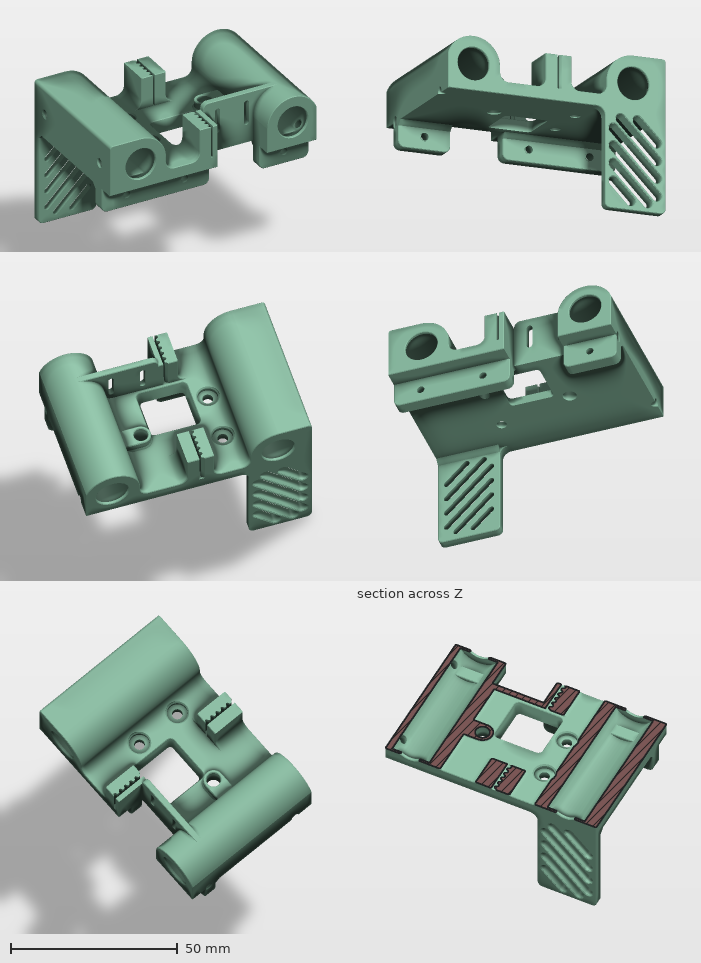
import cadquery as cq
import math

WIDTH = 47.0
LENGTH = 71.09
HEIGHT = 17.1
LEG_DROP = 31.46
PLATE_THICKNESS = 3.9
EDGE_CHAMFER = 0.2
DIAGONAL = 45

BOSS_RADIUS = 8.75
BORE_RADIUS = 5.15
BEARING_RADIUS = 7.5
BEARING_LIP = 0.9
AXIS_Z = HEIGHT - BOSS_RADIUS
FRONT_AXIS_Y = 10.55
REAR_AXIS_Y = LENGTH - 8.25
INNER_FILLET = 2.8
TOP_EDGE_FILLET = 1.0

SCREW_INSET = 6.6
SCREW_X_POSITIONS = (SCREW_INSET, WIDTH - SCREW_INSET)
SCREW_RADIUS = 1.3
SCREW_CHAMFER = 0.3

LEG_THICKNESS = 3.0
LEG_DEPTH = 19.8
LEG_CORNER = 1.6
GUSSET = 1.6
SLOT_OUTER_RADIUS = 1.6
SLOT_INNER_RADIUS = 0.95
SLOT_PITCH = 5.53
SLOT_COUNT = 6
SLOT_FRONT_Y = 2.85
SLOT_REAR_Y = 17.0
SLOT_TOP_Z = -3.2
SLOT_BOTTOM_Z = -28.6
FIRST_SLOT_FRONT_Z = -9.5

TAB_X = 37.8
TAB_THICKNESS = 4.1
TAB_DROP = 8.25
TAB_CORNER = 2.0
TAB_HOLE_RADIUS = 1.2
TAB_HOLE_Z = -4.2
TAB_HOLE_INSET = 8.55
COLLAR_RADIUS = 1.4
COLLAR_LENGTH = 0.2

NOTCH_X = 38.0
NOTCH_FRONT_Y = 36.95
NOTCH_REAR_Y = REAR_AXIS_Y - BOSS_RADIUS

WALL_X = 36.0
WALL_CORNER = 2.0
WALL_SLOT_Y_POSITIONS = (41.9, 51.85)
WALL_SLOT_WIDTH = 1.8
WALL_SLOT_BOTTOM_Z = 6.0
WALL_SLOT_TOP_Z = 14.35

CLAMP_WIDTH = 11.0
CLAMP_HEIGHT = 14.5
CLAMP_FRONT_Y = 30.8
CLAMP_REAR_Y = 39.2
BELT_FRONT_Y = 34.7
BELT_REAR_Y = 35.4
TOOTH_PITCH = 2.05
TOOTH_DEPTH = 0.8
TOOTH_ROOT_WIDTH = 0.5
TOOTH_MOUTH_WIDTH = 1.4

WINDOW_X = 27.25
WINDOW_Y = 36.6
WINDOW_WIDTH = 13.65
WINDOW_LENGTH = 13.95
WINDOW_FLARE = 1.05
WINDOW_BOTTOM_CORNER = 1.2
WINDOW_TOP_CORNER = 1.6

PLATE_SCREW_X_POSITIONS = (13.0, 27.9)
PLATE_SCREW_Y = 24.0
PLATE_SCREW_RADIUS = 1.6
COUNTERBORE_RADIUS = 3.15
COUNTERBORE_DEPTH = 1.5
COUNTERBORE_CHAMFER = 0.4

PAD_X = 19.0
PAD_Y = 47.9
PAD_RADIUS = 3.1
PAD_TOP_Z = 6.7
PAD_FLARE = 0.5
PAD_CHAMFER = 0.25
PAD_HOLE_RADIUS = 2.15


def block(x_min, x_max, y_min, y_max, z_min, z_max):
    """Box given by its limits on each axis."""
    size = (x_max - x_min, y_max - y_min, z_max - z_min)
    return cq.Workplane("XY").box(*size, centered=False).translate((x_min, y_min, z_min))


def side_plane(x):
    """Sketch plane at a given X; its local axes are Y and Z."""
    return cq.Workplane("YZ", origin=(x, 0, 0))


def rod(x, y, radius, z_min, z_max):
    """Vertical cylinder."""
    return cq.Workplane("XY", origin=(x, y, z_min)).circle(radius).extrude(z_max - z_min)


def cone(x, y, radius, chamfer, z_max):
    """45 degree countersink that opens upward to z_max."""
    return (
        cq.Workplane("XY", origin=(x, y, z_max))
        .circle(radius + chamfer)
        .extrude(-chamfer, taper=DIAGONAL)
    )


def make_body():
    """Plate and both rod bosses, with one constant section along X."""
    front_wall_y = FRONT_AXIS_Y + BOSS_RADIUS
    rear_wall_y = REAR_AXIS_Y - BOSS_RADIUS
    fillet_top_z = PLATE_THICKNESS + INNER_FILLET
    flat_start_z = AXIS_Z + math.sqrt(BOSS_RADIUS**2 - (LENGTH - REAR_AXIS_Y) ** 2)
    section = (
        side_plane(0)
        .moveTo(0, 0)
        .lineTo(0, HEIGHT - TOP_EDGE_FILLET)
        .radiusArc((TOP_EDGE_FILLET, HEIGHT), TOP_EDGE_FILLET)
        .lineTo(FRONT_AXIS_Y, HEIGHT)
        .radiusArc((front_wall_y, AXIS_Z), BOSS_RADIUS)
        .lineTo(front_wall_y, fillet_top_z)
        .radiusArc((front_wall_y + INNER_FILLET, PLATE_THICKNESS), -INNER_FILLET)
        .lineTo(rear_wall_y - INNER_FILLET, PLATE_THICKNESS)
        .radiusArc((rear_wall_y, fillet_top_z), -INNER_FILLET)
        .lineTo(rear_wall_y, AXIS_Z)
        .radiusArc((REAR_AXIS_Y, HEIGHT), BOSS_RADIUS)
        .radiusArc((LENGTH, flat_start_z), BOSS_RADIUS)
        .lineTo(LENGTH, 0)
        .close()
    )
    return section.extrude(WIDTH)


def make_clamp(x_start, inner_side):
    """Belt clamp post with filleted feet, chamfered on its inner side."""
    post = (
        side_plane(x_start)
        .moveTo(CLAMP_FRONT_Y - INNER_FILLET, PLATE_THICKNESS)
        .radiusArc((CLAMP_FRONT_Y, PLATE_THICKNESS + INNER_FILLET), -INNER_FILLET)
        .lineTo(CLAMP_FRONT_Y, CLAMP_HEIGHT)
        .lineTo(CLAMP_REAR_Y, CLAMP_HEIGHT)
        .lineTo(CLAMP_REAR_Y, PLATE_THICKNESS + INNER_FILLET)
        .radiusArc((CLAMP_REAR_Y + INNER_FILLET, PLATE_THICKNESS), -INNER_FILLET)
        .lineTo(CLAMP_REAR_Y + INNER_FILLET, 0)
        .lineTo(CLAMP_FRONT_Y - INNER_FILLET, 0)
        .close()
        .extrude(CLAMP_WIDTH)
    )
    return post.faces(inner_side).chamfer(EDGE_CHAMFER)


def make_belt_slot(x_start):
    """Void for a toothed belt across one clamp."""
    x_end = x_start + CLAMP_WIDTH
    slot = block(x_start, x_end, BELT_FRONT_Y, BELT_REAR_Y, PLATE_THICKNESS, CLAMP_HEIGHT)
    tooth_count = math.ceil(CLAMP_WIDTH / TOOTH_PITCH)
    root_y = BELT_FRONT_Y - TOOTH_DEPTH
    for index in range(tooth_count):
        x = x_start + index * TOOTH_PITCH
        tooth = (
            cq.Workplane("XY", origin=(x, 0, PLATE_THICKNESS))
            .polyline(
                [
                    (-TOOTH_MOUTH_WIDTH / 2, BELT_FRONT_Y),
                    (-TOOTH_ROOT_WIDTH / 2, root_y),
                    (TOOTH_ROOT_WIDTH / 2, root_y),
                    (TOOTH_MOUTH_WIDTH / 2, BELT_FRONT_Y),
                ]
            )
            .close()
            .extrude(CLAMP_HEIGHT - PLATE_THICKNESS)
        )
        slot = slot.union(tooth)
    return slot


def make_gusset(x_corner, direction, depth):
    """45 degree gusset under the plate, growing along X in the given direction."""
    root = -direction * EDGE_CHAMFER
    return (
        cq.Workplane("XZ", origin=(x_corner, 0, 0))
        .polyline([(root, 0), (direction * GUSSET, 0), (0, -GUSSET), (root, -GUSSET)])
        .close()
        .extrude(-depth)
    )


def make_leg():
    """Hanging leg, faired into the plate underside."""
    leg = block(0, LEG_THICKNESS, 0, LEG_DEPTH, -LEG_DROP, PLATE_THICKNESS)
    leg = leg.edges("|X and <Z").fillet(LEG_CORNER).faces(">X").chamfer(EDGE_CHAMFER)
    fairing = (
        side_plane(0)
        .moveTo(LEG_DEPTH, 0)
        .lineTo(LEG_DEPTH, -INNER_FILLET)
        .radiusArc((LEG_DEPTH + INNER_FILLET, 0), INNER_FILLET)
        .close()
        .extrude(LEG_THICKNESS)
    )
    return leg.union(fairing).union(make_gusset(LEG_THICKNESS, 1, LEG_DEPTH))


def make_leg_slot(front_y, front_z, rear_y):
    """Diagonal slot, tapering inward from a chamfered rim on the outer face of the leg."""
    run = rear_y - front_y
    wall_taper = math.degrees(math.atan((SLOT_OUTER_RADIUS - SLOT_INNER_RADIUS) / LEG_THICKNESS))

    def tapered_slot(radius, depth, taper):
        return (
            side_plane(0)
            .center((front_y + rear_y) / 2, front_z + run / 2)
            .slot2D(run * math.sqrt(2) + 2 * radius, 2 * radius, DIAGONAL)
            .extrude(depth, taper=taper)
        )

    rim = tapered_slot(SLOT_OUTER_RADIUS + EDGE_CHAMFER, EDGE_CHAMFER, DIAGONAL)
    return tapered_slot(SLOT_OUTER_RADIUS, LEG_THICKNESS, wall_taper).union(rim)


def make_leg_slots():
    """Row of slots on parallel diagonals, trimmed to a rectangular field."""
    slots = cq.Workplane("XY")
    for index in range(SLOT_COUNT):
        line_z = FIRST_SLOT_FRONT_Z - index * SLOT_PITCH
        front_y = SLOT_FRONT_Y + max(0, SLOT_BOTTOM_Z - line_z)
        front_z = max(line_z, SLOT_BOTTOM_Z)
        rear_y = min(SLOT_REAR_Y, front_y + SLOT_TOP_Z - front_z)
        slots = slots.add(make_leg_slot(front_y, front_z, rear_y))
    return slots.combine()


def make_tab(y_min, y_max, hole_y_positions):
    """Hinge tab with its gusset and collared pin holes."""
    tab = block(TAB_X, TAB_X + TAB_THICKNESS, y_min, y_max, -TAB_DROP, PLATE_THICKNESS / 2)
    tab = tab.edges("|X and <Z").fillet(TAB_CORNER)
    tab = tab.faces("<X or >X").chamfer(EDGE_CHAMFER)
    tab = tab.union(make_gusset(TAB_X, -1, y_max - y_min).translate((0, y_min, 0)))
    collar_x = TAB_X - COLLAR_LENGTH
    centers = [(y, TAB_HOLE_Z) for y in hole_y_positions]
    collars = side_plane(collar_x).pushPoints(centers).circle(COLLAR_RADIUS).extrude(COLLAR_LENGTH)
    holes = (
        side_plane(collar_x)
        .pushPoints(centers)
        .circle(TAB_HOLE_RADIUS)
        .extrude(COLLAR_LENGTH + TAB_THICKNESS)
    )
    return tab.union(collars).cut(holes)


def make_wall():
    """Thin upright wall beside the notch, with two vertical slots."""
    wall = block(WALL_X, NOTCH_X, NOTCH_FRONT_Y, REAR_AXIS_Y, 0, HEIGHT)
    wall = wall.edges("|X and >Z and <Y").fillet(WALL_CORNER)
    slot_length = WALL_SLOT_TOP_Z - WALL_SLOT_BOTTOM_Z
    slot_middle_z = (WALL_SLOT_TOP_Z + WALL_SLOT_BOTTOM_Z) / 2
    slots = (
        side_plane(WALL_X)
        .pushPoints([(y, slot_middle_z) for y in WALL_SLOT_Y_POSITIONS])
        .slot2D(slot_length, WALL_SLOT_WIDTH, 90)
        .extrude(NOTCH_X - WALL_X)
    )
    wall = wall.faces("<X or >X").chamfer(EDGE_CHAMFER)
    return wall.cut(slots)


def pad_block(radius, z_max):
    """Block with a round front end, rooted in the plate and reaching into the rear boss."""
    z_min = PLATE_THICKNESS / 2
    end = rod(PAD_X, PAD_Y, radius, z_min, z_max)
    straight = block(
        PAD_X - radius,
        PAD_X + radius,
        PAD_Y,
        NOTCH_REAR_Y + (BOSS_RADIUS - BEARING_RADIUS),
        z_min,
        z_max,
    )
    return end.union(straight)


def make_pad():
    """Raised pad with a broken top edge and a sloped foot."""
    pad = pad_block(PAD_RADIUS, PAD_TOP_Z).faces(">Z").chamfer(PAD_CHAMFER)
    foot = pad_block(PAD_RADIUS + PAD_FLARE, PLATE_THICKNESS + PAD_FLARE).faces(">Z").chamfer(PAD_FLARE)
    return pad.union(foot)


def make_pad_hole():
    """Through hole in the pad with a countersunk mouth."""
    hole = rod(PAD_X, PAD_Y, PAD_HOLE_RADIUS, 0, PAD_TOP_Z)
    return hole.union(cone(PAD_X, PAD_Y, PAD_HOLE_RADIUS, PAD_CHAMFER, PAD_TOP_Z))


def window_outline(flare, corner, z):
    """Rounded window rectangle, grown by a flare on every side, at height z."""
    outline = (
        cq.Sketch()
        .rect(WINDOW_WIDTH + 2 * flare, WINDOW_LENGTH + 2 * flare)
        .vertices()
        .fillet(corner)
    )
    return outline.moved(cq.Location(cq.Vector(WINDOW_X, WINDOW_Y, z)))


def make_window():
    """Plate opening that widens upward and has a chamfered upper rim."""
    rim_z = PLATE_THICKNESS - EDGE_CHAMFER
    bottom = window_outline(0, WINDOW_BOTTOM_CORNER, 0)
    top = window_outline(WINDOW_FLARE, WINDOW_TOP_CORNER, rim_z)
    rim = window_outline(WINDOW_FLARE + EDGE_CHAMFER, WINDOW_TOP_CORNER + EDGE_CHAMFER, PLATE_THICKNESS)
    opening = cq.Workplane("XY").placeSketch(bottom, top).loft()
    return opening.union(cq.Workplane("XY").placeSketch(top, rim).loft())


def make_plate_screw_hole(x):
    """Through hole with a chamfered counterbore that also cuts the boss fillet."""
    seat_z = PLATE_THICKNESS - COUNTERBORE_DEPTH
    hole = rod(x, PLATE_SCREW_Y, PLATE_SCREW_RADIUS, 0, PLATE_THICKNESS)
    counterbore = rod(x, PLATE_SCREW_Y, COUNTERBORE_RADIUS, seat_z, AXIS_Z)
    mouth = rod(x, PLATE_SCREW_Y, COUNTERBORE_RADIUS + COUNTERBORE_CHAMFER, PLATE_THICKNESS, AXIS_Z)
    rim = cone(x, PLATE_SCREW_Y, COUNTERBORE_RADIUS, COUNTERBORE_CHAMFER, PLATE_THICKNESS)
    return hole.union(counterbore).union(mouth).union(rim)


def make_rods(radius, lip):
    """Cylinders along both boss axes, stopping a lip short of each end."""
    return (
        side_plane(lip)
        .pushPoints([(FRONT_AXIS_Y, AXIS_Z), (REAR_AXIS_Y, AXIS_Z)])
        .circle(radius)
        .extrude(WIDTH - 2 * lip)
    )


def make_set_screw_holes():
    """Holes out of the bearing seats, countersunk where they open on the front face and the seats."""
    seat_offset = math.sqrt(BEARING_RADIUS**2 - (SCREW_RADIUS + SCREW_CHAMFER) ** 2)
    slant_length = math.hypot(LENGTH - REAR_AXIS_Y, AXIS_Z) + SCREW_RADIUS
    front_axis = cq.Plane((0, FRONT_AXIS_Y, AXIS_Z), xDir=(1, 0, 0), normal=(0, -1, 0))
    rear_axis = cq.Plane((0, REAR_AXIS_Y, AXIS_Z), xDir=(1, 0, 0), normal=(0, 1, -1))
    centers = [(x, 0) for x in SCREW_X_POSITIONS]
    mouth_radius = SCREW_RADIUS + SCREW_CHAMFER
    holes = cq.Workplane("XY")
    for axis, length in ((front_axis, FRONT_AXIS_Y), (rear_axis, slant_length)):
        bore = cq.Workplane(axis).pushPoints(centers).circle(SCREW_RADIUS).extrude(length)
        seat_mouth = (
            cq.Workplane(axis)
            .workplane(offset=seat_offset)
            .pushPoints(centers)
            .circle(mouth_radius)
            .extrude(SCREW_CHAMFER, taper=DIAGONAL)
        )
        holes = holes.add(bore.union(seat_mouth))
    face_mouth = (
        cq.Workplane("XZ")
        .pushPoints([(x, AXIS_Z) for x in SCREW_X_POSITIONS])
        .circle(mouth_radius)
        .extrude(-SCREW_CHAMFER, taper=DIAGONAL)
    )
    return holes.add(face_mouth).combine()


clamp_starts = (0, WIDTH - CLAMP_WIDTH)
part = make_body()
part = part.union(make_clamp(clamp_starts[0], ">X")).union(make_clamp(clamp_starts[1], "<X"))
part = part.cut(block(NOTCH_X, WIDTH, NOTCH_FRONT_Y, NOTCH_REAR_Y, 0, HEIGHT))
part = part.union(make_leg()).cut(make_rods(BORE_RADIUS, 0))
part = part.faces("<X or >X").chamfer(EDGE_CHAMFER)
part = part.union(make_wall()).union(make_pad()).cut(make_rods(BEARING_RADIUS, BEARING_LIP))
part = part.union(make_tab(0, NOTCH_FRONT_Y, (TAB_HOLE_INSET, NOTCH_FRONT_Y - TAB_HOLE_INSET)))
part = part.union(make_tab(NOTCH_REAR_Y, LENGTH, (LENGTH - TAB_HOLE_INSET,)))
for clamp_start in clamp_starts:
    part = part.cut(make_belt_slot(clamp_start))
part = part.cut(make_window())
for screw_x in PLATE_SCREW_X_POSITIONS:
    part = part.cut(make_plate_screw_hole(screw_x))
part = part.cut(make_pad_hole())
part = part.cut(make_leg_slots())
result = part.cut(make_set_screw_holes())